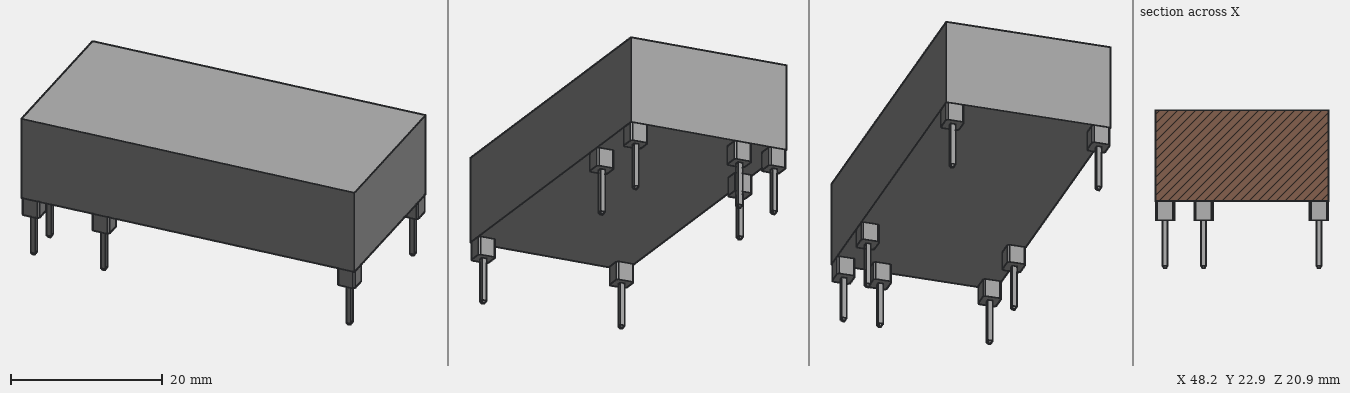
import cadquery as cq

LENGTH = 48.25
GRID_COLUMNS = 19
GRID_ROWS = 9
BODY_HEIGHT = 12.0
STANDOFF_WIDTH = 2.5
STANDOFF_HEIGHT = 2.55
STANDOFF_CHAMFER = 0.25
PIN_WIDTH = 0.68
PIN_LENGTH = 6.3
TIP_LENGTH = 0.35
TIP_INSET = 0.2

PITCH = LENGTH / GRID_COLUMNS
WIDTH = GRID_ROWS * PITCH
BODY_BOTTOM = PIN_LENGTH + STANDOFF_HEIGHT

LAST_COLUMN = GRID_COLUMNS - 1
LAST_ROW = GRID_ROWS - 1
EDGE_PIN_COLUMNS = (0, 4, LAST_COLUMN)
EXTRA_PIN_CELL = (0, 2)


def make_body():
    """Plain rectangular case resting on the standoffs."""
    return (
        cq.Workplane("XY")
        .workplane(offset=BODY_BOTTOM)
        .rect(LENGTH, WIDTH)
        .extrude(BODY_HEIGHT)
    )


def make_pin():
    """Square pin with a tapered tip, hanging from a standoff with chamfered corners."""
    standoff = (
        cq.Workplane("XY")
        .workplane(offset=PIN_LENGTH)
        .rect(STANDOFF_WIDTH, STANDOFF_WIDTH)
        .extrude(STANDOFF_HEIGHT)
        .edges("|Z")
        .chamfer(STANDOFF_CHAMFER)
    )
    pin = (
        cq.Workplane("XY")
        .rect(PIN_WIDTH, PIN_WIDTH)
        .extrude(PIN_LENGTH)
        .faces("<Z")
        .chamfer(TIP_LENGTH, TIP_INSET)
    )
    return standoff.union(pin)


def cell_center(column, row):
    """Centre of a grid cell, with the grid centred on the origin."""
    x = (column - LAST_COLUMN / 2) * PITCH
    y = (row - LAST_ROW / 2) * PITCH
    return x, y


pin_cells = [(column, row) for column in EDGE_PIN_COLUMNS for row in (0, LAST_ROW)]
pin_cells.append(EXTRA_PIN_CELL)

result = make_body()
pin = make_pin()
for column, row in pin_cells:
    x, y = cell_center(column, row)
    result = result.union(pin.translate((x, y, 0)))